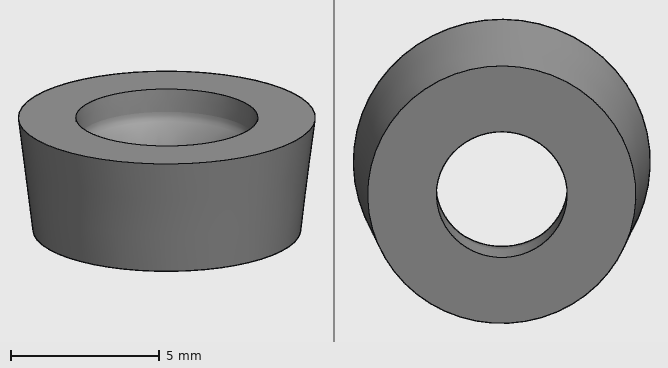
import cadquery as cq
import math


top_radius = 10.0 / 2
thickness = 3.97
clearance_angle = math.radians(7)
bottom_radius = top_radius - thickness * math.tan(clearance_angle)

bore_radius = 4.4 / 2
bore_depth = 3.02
seat_radius = 3.0
seat_angle = math.radians(40)
fillet_radius = 0.5
rim_angle = math.radians(3.5)


def point_on_arc(center, radius, angle):
    """Point at the given angle, measured upwards from the outward radial direction."""
    return (
        center[0] + radius * math.cos(angle),
        center[1] + radius * math.sin(angle),
    )


seat_center = (bore_radius + seat_radius, thickness - bore_depth)
seat_bottom = (bore_radius, seat_center[1])
seat_middle = point_on_arc(seat_center, seat_radius, math.pi - seat_angle / 2)
seat_top = point_on_arc(seat_center, seat_radius, math.pi - seat_angle)

fillet_center = point_on_arc(seat_center, seat_radius + fillet_radius, math.pi - seat_angle)
fillet_middle = point_on_arc(fillet_center, fillet_radius, -(seat_angle + rim_angle) / 2)
fillet_top = point_on_arc(fillet_center, fillet_radius, -rim_angle)

rim_height = thickness - fillet_top[1]
rim_radius = fillet_top[0] + rim_height * math.tan(rim_angle)

profile = (
    cq.Workplane("XZ")
    .moveTo(bore_radius, 0)
    .lineTo(*seat_bottom)
    .threePointArc(seat_middle, seat_top)
    .threePointArc(fillet_middle, fillet_top)
    .lineTo(rim_radius, thickness)
    .lineTo(top_radius, thickness)
    .lineTo(bottom_radius, 0)
    .close()
)

result = profile.revolve(360, (0, 0, 0), (0, 1, 0))